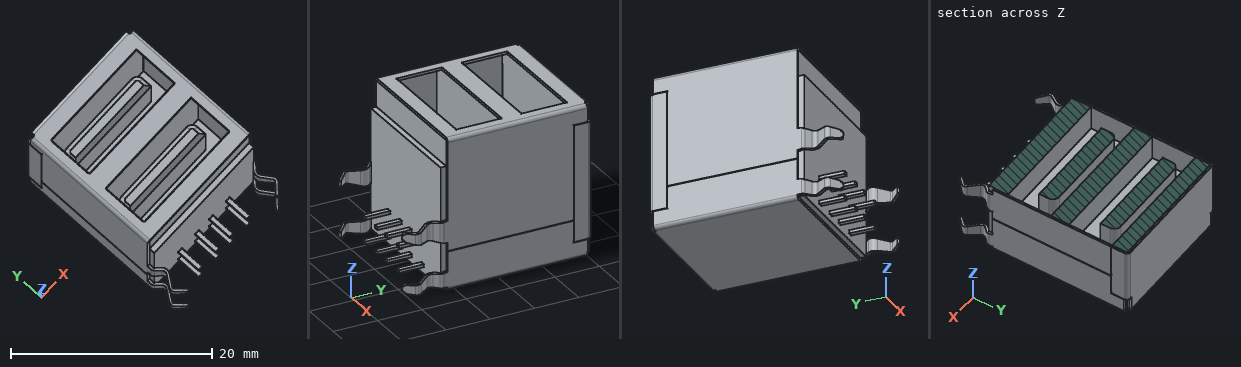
import cadquery as cq
import math


shell_width = 15.32
shell_height = 17.0
shell_front_y = 0.64
shell_back_y = 16.91
sheet = 0.3
bend_radius = 0.4
half_width = shell_width / 2
inner_half_width = half_width - sheet
inner_back_y = shell_back_y - sheet

tab_length = 2.0
tab_end_margin = 2.0
sheet_gap = 0.07
tab_height = shell_height - 2 * tab_end_margin
corner_relief_x = 0.62
corner_relief_y = 0.5
side_seam_z = 4.42

socket_width = 12.6
socket_depth_y = 5.14
socket_pitch = 7.35
front_socket_y = 4.91
socket_floor_z = 5.5
socket_centers_y = [front_socket_y + i * socket_pitch for i in range(2)]

tongue_width = 11.1
tongue_thickness = 1.92
tongue_offset_y = 0.86
tongue_top_z = 12.0
tongue_corner_radius = 0.77
tongue_chamfer = 0.52

plate_top_z = 13.79

pin_width = 0.55
pin_thickness = 0.35
pin_length = 2.75
pin_embedment = 1.5
pin_columns_x = [-3.53, -1.04, 1.04, 3.53]
pin_rows_z = [1.22, 3.97]

clip_rows_z = [0.89, 6.59]
clip_bottom_z = 0.4
clip_root_half_height = 1.24
clip_tip_half_height = 0.5
clip_tip_y = -3.99
clip_overlap_y = 0.3
clip_bend_ys = [0.06, -0.95, -2.69]
clip_outward_bend_x = 7.76
clip_outer_radius = 0.5


def centered_box(size_x, size_y, size_z, center):
    return cq.Workplane("XY").box(size_x, size_y, size_z).translate(center)


def box_between(x_range, y_range, z_range):
    """Box spanning the given (low, high) range on each axis."""
    size = [high - low for low, high in (x_range, y_range, z_range)]
    corner = (x_range[0], y_range[0], z_range[0])
    return cq.Workplane("XY").box(*size, centered=False).translate(corner)


def strip_outline(path, thickness):
    """Closed outline of a strip of even thickness along a path, with mitred corners."""
    headings = [math.atan2(b[1] - a[1], b[0] - a[0]) for a, b in zip(path, path[1:])]
    before = headings[:1] + headings
    after = headings + headings[-1:]
    left = []
    right = []
    for (x, y), heading_in, heading_out in zip(path, before, after):
        normal = (heading_in + heading_out) / 2 + math.pi / 2
        reach = thickness / 2 / math.cos((heading_out - heading_in) / 2)
        left.append((x + reach * math.cos(normal), y + reach * math.sin(normal)))
        right.append((x - reach * math.cos(normal), y - reach * math.sin(normal)))
    return left, right


def tapered_side(center_z):
    """Side profile of a clip, swept across the whole width: a taper ending in a round tip."""
    tip_center_y = clip_tip_y + clip_tip_half_height
    return (
        cq.Workplane("YZ")
        .moveTo(shell_front_y + clip_overlap_y, center_z + clip_root_half_height)
        .lineTo(shell_front_y, center_z + clip_root_half_height)
        .lineTo(tip_center_y, center_z + clip_tip_half_height)
        .threePointArc((clip_tip_y, center_z), (tip_center_y, center_z - clip_tip_half_height))
        .lineTo(shell_front_y, center_z - clip_root_half_height)
        .lineTo(shell_front_y + clip_overlap_y, center_z - clip_root_half_height)
        .close()
        .extrude(shell_width, both=True)
    )


def bent_strip():
    """Full-height zigzag strip on the -X side, before its taper is cut."""
    root_y, inward_y, outward_y = clip_bend_ys
    wall_x = -half_width + sheet / 2
    inward_x = wall_x + root_y - inward_y
    end_y = clip_tip_y + sheet / 2 * math.sin(math.pi / 4)
    path = [
        (wall_x, shell_front_y + clip_overlap_y),
        (wall_x, root_y),
        (inward_x, inward_y),
        (-clip_outward_bend_x, outward_y),
        (-clip_outward_bend_x + outward_y - end_y, end_y),
    ]
    left, right = strip_outline(path, sheet)
    strip = cq.Workplane("XY").polyline(left + right[::-1]).close().extrude(shell_height)

    def round_corner(body, corner, radius):
        nearest = cq.selectors.NearestToPointSelector((corner[0], corner[1], shell_height / 2))
        return body.edges("|Z").edges(nearest).fillet(radius)

    strip = round_corner(strip, right[1], clip_outer_radius)
    strip = round_corner(strip, left[1], clip_outer_radius - sheet)
    strip = round_corner(strip, right[2], clip_outer_radius)
    strip = round_corner(strip, left[2], clip_outer_radius + sheet)
    strip = round_corner(strip, right[3], clip_outer_radius)
    strip = round_corner(strip, left[3], clip_outer_radius - sheet)
    return strip


def make_clips():
    strip = bent_strip()
    below = (-shell_height, clip_bottom_z)
    floor = box_between((-shell_width, shell_width), (clip_tip_y, shell_back_y), below)
    clips = []
    for center_z in clip_rows_z:
        left_clip = strip.intersect(tapered_side(center_z)).cut(floor)
        clips += [left_clip, left_clip.mirror("YZ")]
    return clips


def make_shell():
    y_range = (shell_front_y, shell_back_y)
    shell = box_between((-half_width, half_width), y_range, (0, shell_height))
    shell = shell.edges("|Y or >Y").fillet(bend_radius)
    shell = shell.cut(
        box_between(
            (-inner_half_width, inner_half_width),
            (shell_front_y, inner_back_y),
            (sheet, shell_height - sheet),
        )
    )
    for center_y in socket_centers_y:
        shell = shell.cut(centered_box(socket_width, socket_depth_y, 2 * sheet, (0, center_y, shell_height)))
    shell = cut_tab_gaps(shell)
    for clip in make_clips():
        shell = shell.union(clip)
    return shell


def cut_tab_gaps(shell):
    """Frees the side tabs: a slit around each tab, open corners above and below, and a side seam."""
    tab_end_y = shell_back_y - tab_length
    relief_y = shell_back_y - corner_relief_y
    tab_bottom_z = tab_end_margin
    tab_top_z = tab_end_margin + tab_height
    slit_x = (-half_width, -inner_half_width)
    corner_x = (-half_width, -half_width + corner_relief_x)
    slit_y = (tab_end_y - sheet_gap, relief_y)
    corner_y = (relief_y, shell_back_y)
    cuts = [
        box_between(slit_x, (tab_end_y - sheet_gap, tab_end_y), (tab_bottom_z, tab_top_z)),
        box_between(slit_x, slit_y, (tab_bottom_z - sheet_gap, tab_bottom_z)),
        box_between(slit_x, slit_y, (tab_top_z, tab_top_z + sheet_gap)),
        box_between(corner_x, corner_y, (0, tab_bottom_z)),
        box_between(corner_x, corner_y, (tab_top_z, shell_height)),
        box_between(
            slit_x,
            (shell_front_y, tab_end_y),
            (side_seam_z - sheet_gap / 2, side_seam_z + sheet_gap / 2),
        ),
    ]
    for cut in cuts:
        shell = shell.cut(cut).cut(cut.mirror("YZ"))
    return shell


def make_tongue(socket_y):
    """Contact tongue with rounded rear corners and a chamfered end."""
    height = tongue_top_z - socket_floor_z
    center = (0, socket_y + tongue_offset_y, socket_floor_z + height / 2)
    tongue = centered_box(tongue_width, tongue_thickness, height, center)
    tongue = tongue.edges("|Z and >Y").fillet(tongue_corner_radius)
    return tongue.faces(">Z").chamfer(tongue_chamfer)


def make_housing(shell, pins):
    full_width = (-inner_half_width, inner_half_width)
    housing = box_between(full_width, (shell_front_y, inner_back_y), (sheet, shell_height - sheet))
    housing = housing.union(box_between(full_width, (0, shell_front_y), (sheet, plate_top_z)))
    for center_y in socket_centers_y:
        socket_y = (center_y - socket_depth_y / 2, center_y + socket_depth_y / 2)
        housing = housing.cut(box_between(full_width, socket_y, (socket_floor_z, shell_height)))
        housing = housing.union(make_tongue(center_y))
    for pin in pins:
        housing = housing.cut(pin)
    return housing.cut(shell)


def make_pin(x, z):
    half_x = pin_width / 2
    half_z = pin_thickness / 2
    return box_between((x - half_x, x + half_x), (-pin_length, pin_embedment), (z - half_z, z + half_z))


pins = [make_pin(x, z) for z in pin_rows_z for x in pin_columns_x]
shell = make_shell()
housing = make_housing(shell, pins)

result = cq.Compound.makeCompound([shell.val(), housing.val(), *[pin.val() for pin in pins]])